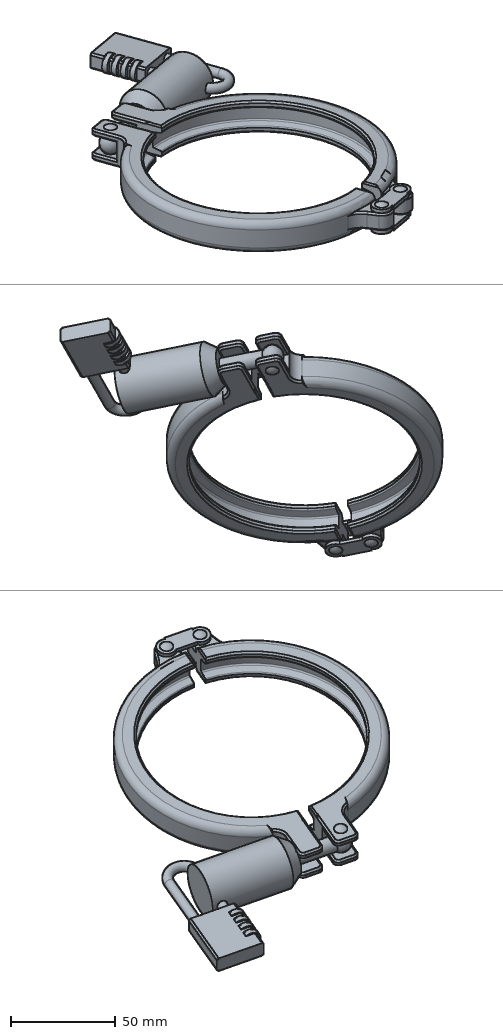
import cadquery as cq
import math


RING_RADIUS = 66.2
RING_HALF_HEIGHT = 8.5
LIP_RADIUS = 55.4
LIP_CHAMFER = 1.0
GROOVE_RADIUS = 60.5
GROOVE_MOUTH_HALF = 5.1
GROOVE_FLOOR_HALF = 4.0
GROOVE_FILLET = 0.8
SHOULDER_WIDTH = 4.0
SHOULDER_DROP = 3.7
GAP_HALF = 3.0
GAP_CHAMFER = 0.8
EMBED_RADIUS = 61.3

LUG_END = -84.2
LUG_OUTER = 16.0
LUG_CORNER = 2.9
LUG_BLEND = 6.0
LUG_RUNOUT_ANGLE = math.radians(2.5)
LUG_CHAMFER = 1.0
SLOT_END = -69.5
SLOT_HALF = 4.7

KNUCKLE_RADIUS = 6.0
KNUCKLE_HALF_HEIGHT = 4.7
KNUCKLE_ANGLE = math.radians(15.5)
KNUCKLE_BLEND = 10.2
KNUCKLE_CHAMFER = 1.0
KNUCKLE_EMBED_RADIUS = 63.3
HINGE_X = 73.1
HINGE_Y = GAP_HALF + KNUCKLE_RADIUS
LINK_THICKNESS = 2.0
LINK_END_RADIUS = 5.1
LINK_INNER_OFFSET = 3.9
LINK_OUTER_OFFSET = 5.7
LINK_BAR_HALF_LENGTH = 7.4

PIN_RADIUS = 3.3
PIN_DOME = 1.0

BOLT_X = -76.5
BOLT_PIN_Y = -9.5
BALL_RADIUS = 5.5
SHANK_RADIUS = 4.0
BARREL_RADIUS = 13.5
BARREL_TIP_RADIUS = 9.0
BARREL_CONE_LENGTH = 6.5
BARREL_END = 65.8

OVERALL_LENGTH = 204.3
PADLOCK_LEFT = HINGE_X + KNUCKLE_RADIUS - OVERALL_LENGTH
PADLOCK_WIDTH = 30.2
PADLOCK_HALF_HEIGHT = 4.3
PADLOCK_TOP = 81.0
PADLOCK_BOTTOM = 56.0
PADLOCK_CHAMFER = 1.0
DIAL_RADIUS = 5.1
DIAL_THICKNESS = 2.9
DIAL_PITCH = 5.1
DIAL_COUNT = 4
FIRST_DIAL_OFFSET = 9.0
DIAL_Y = 59.0
SHACKLE_RADIUS = 2.7
SHACKLE_NEAR_Y = 60.7
SHACKLE_FAR_Y = 76.6
SHACKLE_BEND_X = -65.2

CUT_SIZE = 204.3


def on_circle(point, radius):
    """The point at the given radius in the same direction from the origin."""
    scale = radius / math.hypot(*point)
    return (point[0] * scale, point[1] * scale)


def arc_middle(center, start, end):
    """The point halfway along the shorter arc from start to end."""
    radius = math.dist(center, start)
    toward = (start[0] + end[0] - 2 * center[0], start[1] + end[1] - 2 * center[1])
    offset = on_circle(toward, radius)
    return (center[0] + offset[0], center[1] + offset[1])


def extrude_centered(outline, half_height):
    """Extrude the outline by half the height to each side of its plane."""
    return outline.extrude(half_height, both=True)


def chamfer_outside_ring(body, size):
    """Chamfer the top and bottom edges whose middles lie outside the ring."""
    rims = body.faces("|Z").edges()
    return rims.filter(lambda e: math.hypot(e.Center().x, e.Center().y) > RING_RADIUS).chamfer(size)


def is_groove_edge(edge):
    """True for the circles at the mouth and the floor of the inner groove."""
    lip_halfway = (GROOVE_MOUTH_HALF + RING_HALF_HEIGHT - LIP_CHAMFER) / 2
    return edge.radius() < EMBED_RADIUS and abs(edge.Center().z) < lip_halfway


def half_ring():
    """Half of the turned ring on the +Y side, with a rounded outside and a tapered inner groove."""
    top = RING_HALF_HEIGHT
    wall = top - SHOULDER_DROP
    flat = RING_RADIUS - SHOULDER_WIDTH
    shoulder_radius = (SHOULDER_WIDTH**2 + SHOULDER_DROP**2) / (2 * SHOULDER_DROP)
    middle = arc_middle((flat, top - shoulder_radius), (flat, top), (RING_RADIUS, wall))
    profile = (
        cq.Workplane("XZ")
        .moveTo(GROOVE_RADIUS, -GROOVE_FLOOR_HALF)
        .lineTo(LIP_RADIUS, -GROOVE_MOUTH_HALF)
        .lineTo(LIP_RADIUS, -top + LIP_CHAMFER)
        .lineTo(LIP_RADIUS + LIP_CHAMFER, -top)
        .lineTo(flat, -top)
        .threePointArc((middle[0], -middle[1]), (RING_RADIUS, -wall))
        .lineTo(RING_RADIUS, wall)
        .threePointArc(middle, (flat, top))
        .lineTo(LIP_RADIUS + LIP_CHAMFER, top)
        .lineTo(LIP_RADIUS, top - LIP_CHAMFER)
        .lineTo(LIP_RADIUS, GROOVE_MOUTH_HALF)
        .lineTo(GROOVE_RADIUS, GROOVE_FLOOR_HALF)
        .close()
    )
    ring = profile.revolve(360, (0, 0, 0), (0, 1, 0))
    ring = ring.edges("%CIRCLE").filter(is_groove_edge).fillet(GROOVE_FILLET)
    keep = cq.Workplane("XY").box(CUT_SIZE, CUT_SIZE, CUT_SIZE, centered=(True, False, True))
    return ring.intersect(keep.translate((0, GAP_HALF, 0)))


def closing_lug():
    """Forked lug beside the gap, blended into the ring."""
    blend_y = LUG_OUTER + LUG_BLEND
    blend = (-math.sqrt((RING_RADIUS + LUG_BLEND) ** 2 - blend_y**2), blend_y)
    blend_start = (blend[0], LUG_OUTER)
    blend_end = on_circle(blend, RING_RADIUS)
    runout_angle = math.atan2(blend[1], blend[0]) - LUG_RUNOUT_ANGLE
    runout = (EMBED_RADIUS * math.cos(runout_angle), EMBED_RADIUS * math.sin(runout_angle))
    embed_x = -math.sqrt(EMBED_RADIUS**2 - GAP_HALF**2)
    outline = (
        cq.Workplane("XY")
        .moveTo(embed_x, GAP_HALF)
        .lineTo(LUG_END, GAP_HALF)
        .lineTo(LUG_END, LUG_OUTER)
        .lineTo(*blend_start)
        .threePointArc(arc_middle(blend, blend_start, blend_end), blend_end)
        .lineTo(*runout)
        .close()
    )
    lug = extrude_centered(outline, RING_HALF_HEIGHT)
    lug = lug.edges("|Z").edges("<X").fillet(LUG_CORNER)
    lug = chamfer_outside_ring(lug, LUG_CHAMFER)

    slot = cq.Workplane("XY").box(CUT_SIZE, CUT_SIZE, 2 * SLOT_HALF)
    lug = lug.cut(slot.translate((SLOT_END - CUT_SIZE / 2, 0, 0)))
    rim_margin = 0.2
    slot_rim = cq.selectors.BoxSelector(
        (LUG_END - rim_margin, 0, -SLOT_HALF - rim_margin),
        (SLOT_END - rim_margin, LUG_OUTER + rim_margin, SLOT_HALF + rim_margin),
    )
    return lug.edges(slot_rim).chamfer(LUG_CHAMFER)


def knuckle():
    """Hinge knuckle around the hinge pin, blended into the ring."""
    normal = (math.sin(KNUCKLE_ANGLE), math.cos(KNUCKLE_ANGLE))
    along = (normal[1], -normal[0])
    flank_distance = HINGE_X * normal[0] + HINGE_Y * normal[1] + KNUCKLE_RADIUS
    blend_distance = flank_distance + KNUCKLE_BLEND
    reach = math.sqrt((RING_RADIUS + KNUCKLE_BLEND) ** 2 - blend_distance**2)
    blend = tuple(blend_distance * n + reach * a for n, a in zip(normal, along))
    blend_start = on_circle(blend, RING_RADIUS)
    blend_end = tuple(b - KNUCKLE_BLEND * n for b, n in zip(blend, normal))

    flank_end = (HINGE_X + KNUCKLE_RADIUS * normal[0], HINGE_Y + KNUCKLE_RADIUS * normal[1])
    outline = (
        cq.Workplane("XY")
        .moveTo(*on_circle(blend, KNUCKLE_EMBED_RADIUS))
        .lineTo(*blend_start)
        .threePointArc(arc_middle(blend, blend_start, blend_end), blend_end)
        .lineTo(*flank_end)
        .threePointArc((HINGE_X + KNUCKLE_RADIUS, HINGE_Y), (HINGE_X, GAP_HALF))
        .lineTo(math.sqrt(KNUCKLE_EMBED_RADIUS**2 - GAP_HALF**2), GAP_HALF)
        .close()
    )
    return chamfer_outside_ring(extrude_centered(outline, KNUCKLE_HALF_HEIGHT), KNUCKLE_CHAMFER)


def gap_bevel():
    """Wedges that bevel the top and bottom edges of the gap face."""
    top = RING_HALF_HEIGHT
    wedge = (
        cq.Workplane("YZ")
        .moveTo(GAP_HALF, top)
        .lineTo(GAP_HALF + GAP_CHAMFER, top)
        .lineTo(GAP_HALF, top - GAP_CHAMFER)
        .close()
    )
    wedge = extrude_centered(wedge, CUT_SIZE)
    return wedge.union(wedge.mirror("XY"))


def clamp_half():
    """The clamp half on the +Y side, with its hinge hole."""
    half = half_ring().union(closing_lug()).union(knuckle()).cut(gap_bevel())
    return half.cut(pin_shaft(HINGE_X, HINGE_Y, KNUCKLE_HALF_HEIGHT))


def pin_shaft(x, y, half_length):
    """Plain round bar along Z, centred on Z = 0, which also shapes the pin holes."""
    return extrude_centered(cq.Workplane("XY").center(x, y).circle(PIN_RADIUS), half_length)


def domed_pin(x, y, half_length):
    """Pin along Z whose spherical ends bulge out beyond the given half length."""
    dome_radius = (PIN_RADIUS**2 + PIN_DOME**2) / (2 * PIN_DOME)
    tip = half_length + PIN_DOME
    middle = arc_middle((0, tip - dome_radius), (PIN_RADIUS, half_length), (0, tip))
    profile = (
        cq.Workplane("XZ", origin=(x, y, 0))
        .moveTo(0, -tip)
        .threePointArc((middle[0], -middle[1]), (PIN_RADIUS, -half_length))
        .lineTo(PIN_RADIUS, half_length)
        .threePointArc(middle, (0, tip))
        .close()
    )
    return profile.revolve(360, (0, 0, 0), (0, 1, 0))


def hinge_link():
    """Two link plates joined by the two hinge pins."""
    bar_width = LINK_INNER_OFFSET + LINK_OUTER_OFFSET
    bar_x = HINGE_X + (LINK_OUTER_OFFSET - LINK_INNER_OFFSET) / 2
    plate = (
        cq.Workplane("XY", origin=(0, 0, KNUCKLE_HALF_HEIGHT))
        .pushPoints([(HINGE_X, HINGE_Y), (HINGE_X, -HINGE_Y)])
        .circle(LINK_END_RADIUS)
        .extrude(LINK_THICKNESS)
    )
    bar = (
        cq.Workplane("XY", origin=(bar_x, 0, KNUCKLE_HALF_HEIGHT))
        .rect(bar_width, 2 * LINK_BAR_HALF_LENGTH)
        .extrude(LINK_THICKNESS)
    )
    plate = plate.union(bar)
    link = plate.union(plate.mirror("XY"))
    for y in (HINGE_Y, -HINGE_Y):
        link = link.union(domed_pin(HINGE_X, y, KNUCKLE_HALF_HEIGHT + LINK_THICKNESS))
    return link


def eye_bolt():
    """Ball end on a domed cross pin, with the shank that runs along Y to the barrel."""
    ball = cq.Workplane("XY").sphere(BALL_RADIUS).translate((BOLT_X, BOLT_PIN_Y, 0))
    ball = ball.intersect(cq.Workplane("XY").box(CUT_SIZE, CUT_SIZE, 2 * SLOT_HALF))
    shank = (
        cq.Workplane("XZ", origin=(BOLT_X, BOLT_PIN_Y, 0))
        .circle(SHANK_RADIUS)
        .extrude(BOLT_PIN_Y - LUG_OUTER)
    )
    return ball.union(shank).union(domed_pin(BOLT_X, BOLT_PIN_Y, RING_HALF_HEIGHT))


def lock_barrel():
    """Barrel around the bolt axis, with a cone that seats on the lug."""
    profile = (
        cq.Workplane("XY", origin=(BOLT_X, 0, 0))
        .moveTo(0, LUG_OUTER)
        .lineTo(BARREL_TIP_RADIUS, LUG_OUTER)
        .lineTo(BARREL_RADIUS, LUG_OUTER + BARREL_CONE_LENGTH)
        .lineTo(BARREL_RADIUS, BARREL_END)
        .lineTo(0, BARREL_END)
        .close()
    )
    return profile.revolve(360, (0, 0, 0), (0, 1, 0))


def padlock_case():
    """Padlock block with a row of combination dials along its lower edge."""
    height = PADLOCK_TOP - PADLOCK_BOTTOM
    case = (
        cq.Workplane("XY")
        .box(PADLOCK_WIDTH, height, 2 * PADLOCK_HALF_HEIGHT)
        .edges("|X")
        .chamfer(PADLOCK_CHAMFER)
        .translate((PADLOCK_LEFT + PADLOCK_WIDTH / 2, PADLOCK_BOTTOM + height / 2, 0))
    )
    for number in range(DIAL_COUNT):
        dial_x = PADLOCK_LEFT + FIRST_DIAL_OFFSET + number * DIAL_PITCH
        dial = (
            cq.Workplane("YZ", origin=(dial_x, DIAL_Y, 0))
            .circle(DIAL_RADIUS)
            .extrude(DIAL_THICKNESS / 2, both=True)
        )
        case = case.union(dial)
    return case


def shackle():
    """Round bar that leaves the padlock, bends back and passes through the barrel."""
    start_x = PADLOCK_LEFT + PADLOCK_WIDTH
    bend_radius = (SHACKLE_FAR_Y - SHACKLE_NEAR_Y) / 2
    path = (
        cq.Workplane("XY")
        .moveTo(start_x, SHACKLE_FAR_Y)
        .lineTo(SHACKLE_BEND_X, SHACKLE_FAR_Y)
        .threePointArc(
            (SHACKLE_BEND_X + bend_radius, SHACKLE_NEAR_Y + bend_radius),
            (SHACKLE_BEND_X, SHACKLE_NEAR_Y),
        )
        .lineTo(start_x, SHACKLE_NEAR_Y)
    )
    section = cq.Workplane("YZ", origin=(start_x, SHACKLE_FAR_Y, 0)).circle(SHACKLE_RADIUS)
    return section.sweep(path)


upper_half = clamp_half().cut(lock_barrel())
bolt_pin_hole = pin_shaft(BOLT_X, BOLT_PIN_Y, RING_HALF_HEIGHT)
lower_half = clamp_half().mirror("XZ").cut(bolt_pin_hole)
link = hinge_link()
lock = eye_bolt().union(lock_barrel()).union(padlock_case()).union(shackle())

result = cq.Compound.makeCompound([upper_half.val(), lower_half.val(), link.val(), lock.val()])